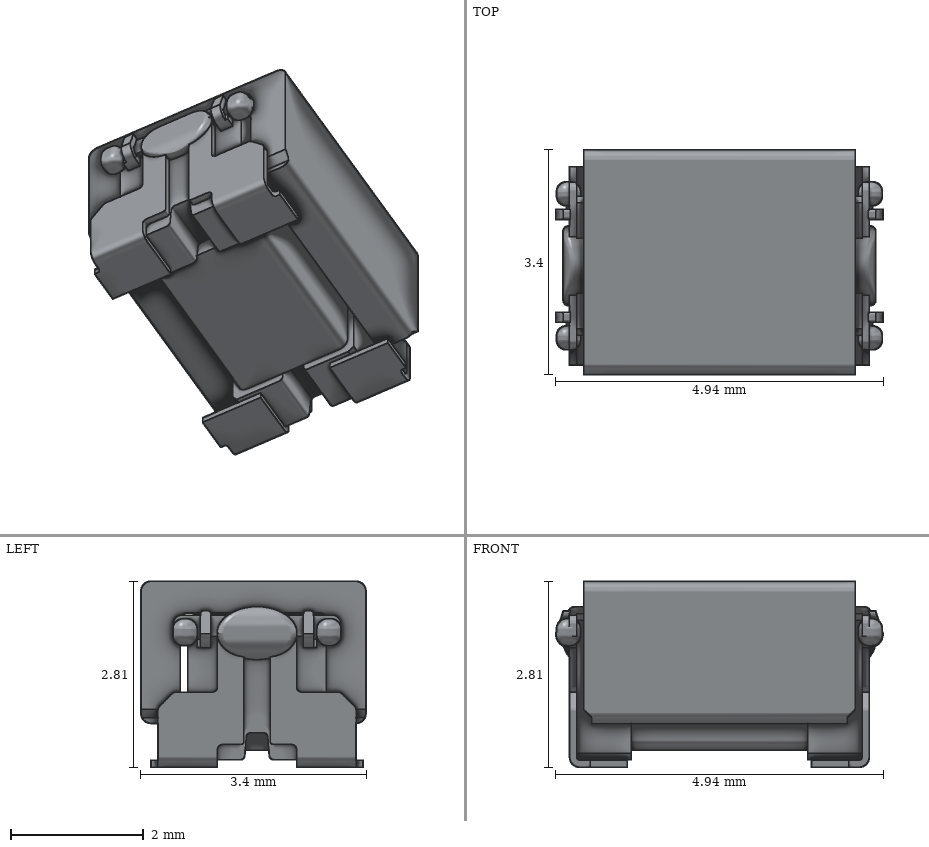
import cadquery as cq


SHIELD_LENGTH = 4.1
SHIELD_WIDTH = 3.4
SHIELD_TOP = 2.81
SHIELD_BOTTOM = 0.66
SHIELD_ROUND = 0.16
OPENING_WIDTH = 2.205
OPENING_TOP = 2.325
OPENING_ROUND = 0.1
RELIEF_LENGTH = 0.125
RELIEF_TOP = 0.875

CORE_Y = -0.055
FLANGE_WIDTH = 2.095
FLANGE_BOTTOM = 0.115
FLANGE_TOP = 2.315
FLANGE_INNER_X = 1.33
FLANGE_CHAMFER = 0.1
FLANGE_FOOT_DEPTH = 0.065
BARREL_WIDTH = 1.875
BARREL_BOTTOM = 0.255
BARREL_TOP = 2.175
BARREL_ROUND = 0.15
ARCH_BOTTOM_WIDTH = 0.375
ARCH_TOP_WIDTH = 0.315
ARCH_TOP = 0.525
ARCH_ROUND = 0.075
ARCH_MOUTH_ROUND = 0.07

SHEET = 0.11
TERMINAL_X = 2.263
TERMINAL_INNER_X = TERMINAL_X - SHEET
BEND_RADIUS = 0.16
WALL_HALF = 1.495
SHOULDER_Z = 1.135
SHOULDER_CHAMFER = 0.235
SHOULDER_ROUND = 0.1
STEM_HALF = 0.6
STEM_ROUND = 0.08
SLOT_HALF = 0.2
SLOT_ROUND = 0.05
NOTCH_TOP = 0.345
BAR_HALF = 1.265
BAR_BOTTOM = 1.98
BAR_TOP = 2.295
BAR_ROUND = 0.13
FOOT_TIP_X = 1.39
FOOT_HALF = 1.6
FOOT_WIDE_X = 1.95
FOOT_RELIEF_RADIUS = 0.05

HOOK_Y = 0.775
HOOK_WIDTH = 0.16
HOOK_REACH_X = 2.47
HOOK_TOP = 2.36
HOOK_TIP_X = 2.355
HOOK_BOTTOM = 1.81
HOOK_ROUND = HOOK_REACH_X - TERMINAL_X
HOOK_TIP_ROUND = 0.04
HOOK_ROOT_EXTRA = 0.05
HOOK_ROOT_X = 2.31

BALL_X = 2.275
BALL_Y = 1.085
BALL_Z = 2.04
BALL_SIZE = (0.365, 0.365, 0.405)
BALL_ROUND = 0.155

BUTTON_Z = 2.025
BUTTON_HALF_WIDTH = 0.605
BUTTON_HALF_HEIGHT = 0.4
BUTTON_X = 2.36
BUTTON_FLAT_HALF = 0.1
BUTTON_CURVE = 0.395
BUTTON_ROUND = 0.09


def block(x_range, y_range, z_range):
    """Box between the given limits."""
    (x0, x1), (y0, y1), (z0, z1) = x_range, y_range, z_range
    return cq.Workplane("XY").box(x1 - x0, y1 - y0, z1 - z0, centered=False).translate((x0, y0, z0))


def soften(body, points, radius):
    """Round the edges running along X nearest to the given (x, y, z) points."""
    for point in points:
        body = body.edges(cq.selectors.NearestToPointSelector(point)).fillet(radius)
    return body


def both_sides(body):
    """Add the mirror image across Y = 0."""
    return body.union(body.mirror("XZ"))


def extrude_along_y(outline, width):
    """Extrude a workplane outline drawn in XZ symmetrically about Y = 0."""
    return outline.close().extrude(width / 2, both=True)


def make_shield():
    half_length = SHIELD_LENGTH / 2
    half_opening = OPENING_WIDTH / 2
    shell = block(
        (-half_length, half_length),
        (-SHIELD_WIDTH / 2, SHIELD_WIDTH / 2),
        (SHIELD_BOTTOM, SHIELD_TOP),
    ).edges("|X").fillet(SHIELD_ROUND)
    opening = block(
        (-half_length, half_length), (-half_opening, half_opening), (0, OPENING_TOP)
    ).edges("|X and >Z").fillet(OPENING_ROUND)
    relief = extrude_along_y(
        cq.Workplane("XZ")
        .moveTo(half_length, RELIEF_TOP)
        .lineTo(half_length - RELIEF_LENGTH, RELIEF_TOP - RELIEF_LENGTH)
        .lineTo(half_length - RELIEF_LENGTH, 0)
        .lineTo(half_length, 0),
        SHIELD_WIDTH,
    )
    return shell.cut(opening).cut(relief).cut(relief.mirror("YZ"))


def make_barrel():
    return block(
        (-FLANGE_INNER_X, FLANGE_INNER_X),
        (-BARREL_WIDTH / 2, BARREL_WIDTH / 2),
        (BARREL_BOTTOM, BARREL_TOP),
    ).edges("|X").fillet(BARREL_ROUND)


def make_flange():
    flange = block(
        (FLANGE_INNER_X, TERMINAL_INNER_X),
        (-FLANGE_WIDTH / 2, FLANGE_WIDTH / 2),
        (FLANGE_BOTTOM, FLANGE_TOP),
    ).edges("|X and >Z").chamfer(FLANGE_CHAMFER)
    flange = flange.faces("<Z").edges("|X").chamfer(FLANGE_CHAMFER, FLANGE_FOOT_DEPTH)
    arch = (
        cq.Workplane("YZ", origin=(FLANGE_INNER_X, 0, 0))
        .moveTo(-ARCH_BOTTOM_WIDTH / 2, FLANGE_BOTTOM)
        .lineTo(-ARCH_TOP_WIDTH / 2, ARCH_TOP)
        .lineTo(ARCH_TOP_WIDTH / 2, ARCH_TOP)
        .lineTo(ARCH_BOTTOM_WIDTH / 2, FLANGE_BOTTOM)
        .close()
        .extrude(TERMINAL_INNER_X - FLANGE_INNER_X)
        .edges("|X and >Z").fillet(ARCH_ROUND)
    )
    middle_x = (FLANGE_INNER_X + TERMINAL_INNER_X) / 2
    mouth = [(middle_x, side * ARCH_BOTTOM_WIDTH / 2, FLANGE_BOTTOM) for side in (-1, 1)]
    return soften(flange.cut(arch), mouth, ARCH_MOUTH_ROUND)


def make_leg():
    """Half of the upright wall: stem, shoulder and the strip that runs into the bend."""
    leg = (
        cq.Workplane("YZ", origin=(TERMINAL_INNER_X, 0, 0))
        .moveTo(SLOT_HALF, BAR_TOP)
        .lineTo(STEM_HALF, BAR_TOP)
        .lineTo(STEM_HALF, SHOULDER_Z)
        .lineTo(WALL_HALF - SHOULDER_CHAMFER, SHOULDER_Z)
        .lineTo(WALL_HALF, SHOULDER_Z - SHOULDER_CHAMFER)
        .lineTo(WALL_HALF, BEND_RADIUS)
        .lineTo(STEM_HALF, BEND_RADIUS)
        .lineTo(STEM_HALF, NOTCH_TOP)
        .lineTo(SLOT_HALF, NOTCH_TOP)
        .close()
        .extrude(SHEET)
    )
    middle_x = TERMINAL_X - SHEET / 2
    leg = soften(leg, [(middle_x, STEM_HALF, SHOULDER_Z), (middle_x, STEM_HALF, NOTCH_TOP)], STEM_ROUND)
    shoulder = [
        (middle_x, WALL_HALF - SHOULDER_CHAMFER, SHOULDER_Z),
        (middle_x, WALL_HALF, SHOULDER_Z - SHOULDER_CHAMFER),
    ]
    leg = soften(leg, shoulder, SHOULDER_ROUND)
    return soften(leg, [(middle_x, SLOT_HALF, NOTCH_TOP)], SLOT_ROUND)


def make_foot():
    """Quarter-round bend and the flat foot, widened beyond the wall past a round relief."""
    bend_x = TERMINAL_X - BEND_RADIUS
    bend = (
        cq.Workplane("XZ")
        .moveTo(TERMINAL_X, BEND_RADIUS)
        .radiusArc((bend_x, 0), BEND_RADIUS)
        .lineTo(FOOT_TIP_X, 0)
        .lineTo(FOOT_TIP_X, SHEET)
        .lineTo(bend_x, SHEET)
        .radiusArc((TERMINAL_INNER_X, BEND_RADIUS), -(BEND_RADIUS - SHEET))
        .close()
        .extrude(-(WALL_HALF - STEM_HALF))
        .translate((0, STEM_HALF, 0))
    )
    relief_x = FOOT_WIDE_X + FOOT_RELIEF_RADIUS
    relief_y = WALL_HALF + FOOT_RELIEF_RADIUS
    wing = block((FOOT_TIP_X, relief_x), (WALL_HALF, FOOT_HALF), (0, SHEET))
    relief = cq.Workplane("XY").center(relief_x, relief_y).circle(FOOT_RELIEF_RADIUS).extrude(SHEET)
    beyond = block((FOOT_WIDE_X, relief_x), (relief_y, FOOT_HALF), (0, SHEET))
    return bend.union(wing.cut(relief).cut(beyond))


def make_bar():
    return block(
        (TERMINAL_INNER_X, TERMINAL_X), (-BAR_HALF, BAR_HALF), (BAR_BOTTOM, BAR_TOP)
    ).edges("|X and >Z").fillet(BAR_ROUND)


def make_hook_strip(width):
    """J-shaped strip of the given width, from Y = 0 outwards."""
    knee_z = HOOK_BOTTOM + HOOK_ROUND
    inner_round = HOOK_ROUND - SHEET
    return (
        cq.Workplane("XZ")
        .moveTo(TERMINAL_INNER_X, HOOK_BOTTOM)
        .lineTo(TERMINAL_X, HOOK_BOTTOM)
        .radiusArc((HOOK_REACH_X, knee_z), -HOOK_ROUND)
        .lineTo(HOOK_TIP_X, HOOK_TOP)
        .lineTo(HOOK_TIP_X - SHEET, HOOK_TOP)
        .lineTo(HOOK_REACH_X - SHEET, knee_z)
        .radiusArc((TERMINAL_X, knee_z - inner_round), inner_round)
        .lineTo(TERMINAL_X, BAR_BOTTOM)
        .lineTo(TERMINAL_INNER_X, BAR_BOTTOM)
        .close()
        .extrude(-width)
    )


def make_hook():
    """Strip that curls out of the bar and leans back over the wire, with a wider root."""
    tip_x = HOOK_TIP_X - SHEET / 2
    tip_corners = [(tip_x, 0, HOOK_TOP), (tip_x, HOOK_WIDTH, HOOK_TOP)]
    strip = soften(make_hook_strip(HOOK_WIDTH), tip_corners, HOOK_TIP_ROUND)
    root_width = HOOK_WIDTH + HOOK_ROOT_EXTRA
    root = make_hook_strip(root_width).intersect(
        block((0, HOOK_ROOT_X), (0, root_width), (0, BAR_BOTTOM))
    )
    return strip.union(root).translate((0, HOOK_Y - HOOK_WIDTH / 2, 0))


def make_ball():
    """Solder ball with narrow flats, like a heavily rounded block."""
    return cq.Workplane("XY").box(*BALL_SIZE).edges().fillet(BALL_ROUND).translate((BALL_X, BALL_Y, BALL_Z))


def make_button():
    """Elliptical button whose front is flat in the middle and curves back above and below."""
    root_x = SHIELD_LENGTH / 2 - BUTTON_CURVE
    column = (
        cq.Workplane("YZ", origin=(root_x, 0, BUTTON_Z))
        .ellipse(BUTTON_HALF_WIDTH, BUTTON_HALF_HEIGHT)
        .extrude(BUTTON_X - root_x)
    )
    half_front = BUTTON_FLAT_HALF + BUTTON_CURVE
    front = block(
        (root_x, BUTTON_X),
        (-2 * BUTTON_HALF_WIDTH, 2 * BUTTON_HALF_WIDTH),
        (BUTTON_Z - half_front, BUTTON_Z + half_front),
    ).edges("|Y and >X").fillet(BUTTON_CURVE)
    button = column.intersect(front)
    return button.edges("(not %LINE) and (not <X)").fillet(BUTTON_ROUND)


def make_end():
    """Everything on the +X end, centred on Y = 0."""
    end = make_flange().union(make_bar()).union(make_button())
    for part in (make_leg(), make_foot(), make_hook(), make_ball()):
        end = end.union(both_sides(part))
    return end


end = make_end()
core = make_barrel().union(end).union(end.mirror("YZ"))
result = make_shield().union(core.translate((0, CORE_Y, 0)))